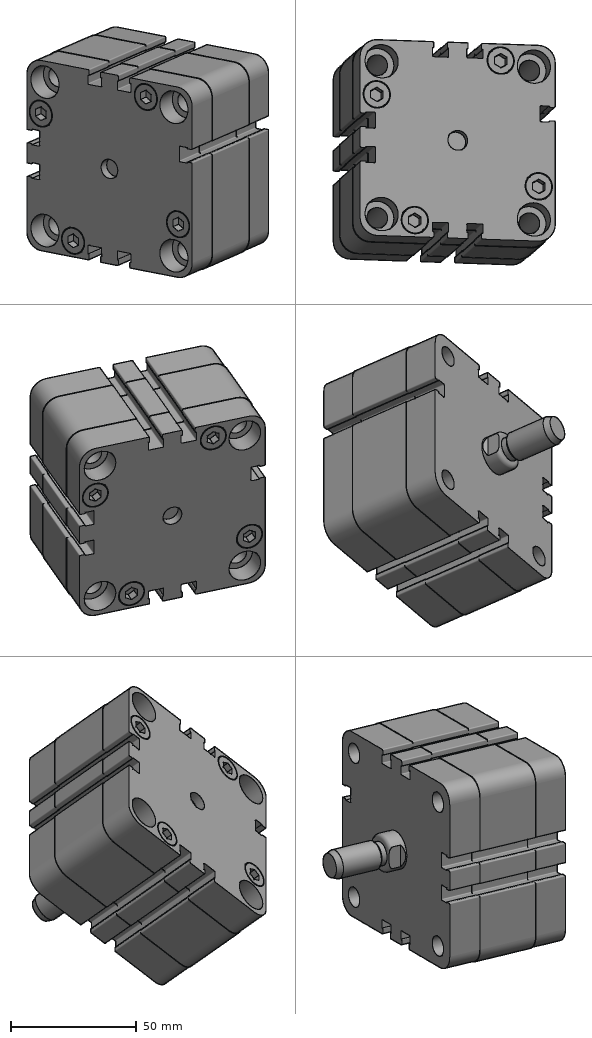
import cadquery as cq


BODY_LENGTH = 55.0
CAP_LENGTH = 14.25
BARREL_LENGTH = BODY_LENGTH - 2 * CAP_LENGTH
BARREL_SIDE = 80.0
CAP_INSET = 0.25
CORNER_CENTRE = 32.75

SLOT_OPENING = 5.5
SLOT_INNER_WIDTH = 6.5
SLOT_LIP = 2.5
SLOT_DEPTH = 6.15
SLOT_EDGE_RADIUS = 0.5
SLOT_INNER_RADIUS = 0.4
SLOT_OFFSET = 7.0
SINGLE_SLOT_OFFSET = 12.0

MOUNT_PITCH = 62.0
MOUNT_HOLE_DIA = 8.38
MOUNT_BORE_DIA = 13.5
MOUNT_BORE_DEPTH = 9.0

SCREW_NEAR = 17.5
SCREW_FAR = 33.0
SCREW_HEAD_DIA = 10.5
SCREW_BORE_DIA = 11.1
SCREW_GAP_DEPTH = 6.0
HEX_ACROSS_FLATS = 5.0
HEX_DEPTH = 4.0

CENTRE_HOLE_DIA = 8.0
CENTRE_HOLE_DEPTH = 4.0

ROD_DIA = 16.0
ROD_LENGTH = 7.5
ROD_END_RADIUS = 1.75
FLAT_WIDTH = 13.0
FLAT_LENGTH = 5.5
NECK_DIA = 10.0
NECK_LENGTH = 2.4
THREAD_DIA = 12.0
THREAD_LENGTH = 21.6
THREAD_START_CHAMFER = 0.9
TIP_DIA = 10.0
TIP_LENGTH = 2.7


def along_y(y):
    """Plane at Y = y with local axes along +X and +Z; negative extrusions run towards +Y."""
    return cq.Workplane("XZ", origin=(0, y, 0))


def cylinder(diameter, start, length, points):
    """Cylinders along +Y from the plane Y = start."""
    return along_y(start).pushPoints(points).circle(diameter / 2).extrude(-length)


def turned(points):
    """Four positions from each point by quarter turns about the cylinder axis."""
    return [p for x, z in points for p in ((x, z), (-z, x), (-x, -z), (z, -x))]


def slot_cutter(side, start, length, offset, turn):
    """T-slot with rounded lips and floor corners, opening on the top face and turned about the Y axis."""
    top = side / 2
    lip = top - SLOT_LIP
    floor = top - SLOT_DEPTH
    edge = SLOT_EDGE_RADIUS
    inner = SLOT_INNER_RADIUS
    left_mouth = offset - SLOT_OPENING / 2
    right_mouth = offset + SLOT_OPENING / 2
    left_wall = offset - SLOT_INNER_WIDTH / 2
    right_wall = offset + SLOT_INNER_WIDTH / 2
    outline = (
        along_y(start)
        .moveTo(left_mouth - edge, top)
        .radiusArc((left_mouth, top - edge), edge)
        .lineTo(left_mouth, lip + inner)
        .radiusArc((left_mouth - inner, lip), inner)
        .lineTo(left_wall, lip)
        .lineTo(left_wall, floor + inner)
        .radiusArc((left_wall + inner, floor), -inner)
        .lineTo(right_wall - inner, floor)
        .radiusArc((right_wall, floor + inner), -inner)
        .lineTo(right_wall, lip)
        .lineTo(right_mouth + inner, lip)
        .radiusArc((right_mouth, lip + inner), inner)
        .lineTo(right_mouth, top - edge)
        .radiusArc((right_mouth + edge, top), edge)
        .close()
    )
    return outline.extrude(-length).rotate((0, 0, 0), (0, 1, 0), turn)


def body_section(side, start, length):
    """Rounded square block with two slots on the top, bottom and -X faces and one on the +X face."""
    section = along_y(start).rect(side, side).extrude(-length)
    section = section.edges("|Y").fillet(side / 2 - CORNER_CENTRE)
    for turn in (0, 180, -90):
        for offset in (-SLOT_OFFSET, SLOT_OFFSET):
            section = section.cut(slot_cutter(side, start, length, offset, turn))
    return section.cut(slot_cutter(side, start, length, -SINGLE_SLOT_OFFSET, 90))


def body():
    cap_side = BARREL_SIDE - 2 * CAP_INSET
    rear_cap = body_section(cap_side, 0, CAP_LENGTH)
    barrel = body_section(BARREL_SIDE, CAP_LENGTH, BARREL_LENGTH)
    front_cap = body_section(cap_side, CAP_LENGTH + BARREL_LENGTH, CAP_LENGTH)
    return rear_cap.union(barrel).union(front_cap)


def mounting_holes():
    centres = turned([(MOUNT_PITCH / 2, MOUNT_PITCH / 2)])
    holes = cylinder(MOUNT_HOLE_DIA, 0, BODY_LENGTH, centres)
    return holes.union(cylinder(MOUNT_BORE_DIA, 0, MOUNT_BORE_DEPTH, centres))


def screw_recesses():
    """Ring gap around each screw head and its hexagon socket."""
    centres = turned([(SCREW_NEAR, SCREW_FAR)])
    gaps = cylinder(SCREW_BORE_DIA, 0, SCREW_GAP_DEPTH, centres)
    gaps = gaps.cut(cylinder(SCREW_HEAD_DIA, 0, SCREW_GAP_DEPTH, centres))
    hexagons = along_y(0).pushPoints(centres).polygon(6, HEX_ACROSS_FLATS, circumscribed=True)
    return gaps.union(hexagons.extrude(-HEX_DEPTH))


def piston_rod():
    """Turned rod with a threaded end and two wrench flats facing -X and +X."""
    rod_end = BODY_LENGTH + ROD_LENGTH
    thread_start = rod_end + NECK_LENGTH
    thread_end = thread_start + THREAD_LENGTH
    rod = (
        cq.Workplane("XY")
        .moveTo(0, BODY_LENGTH)
        .lineTo(ROD_DIA / 2, BODY_LENGTH)
        .lineTo(ROD_DIA / 2, rod_end - ROD_END_RADIUS)
        .radiusArc((ROD_DIA / 2 - ROD_END_RADIUS, rod_end), -ROD_END_RADIUS)
        .lineTo(NECK_DIA / 2, rod_end)
        .lineTo(NECK_DIA / 2, thread_start)
        .lineTo(THREAD_DIA / 2, thread_start + THREAD_START_CHAMFER)
        .lineTo(THREAD_DIA / 2, thread_end - TIP_LENGTH)
        .lineTo(TIP_DIA / 2, thread_end)
        .lineTo(0, thread_end)
        .close()
        .revolve(360, (0, 0, 0), (0, 1, 0))
    )
    flat_x = FLAT_WIDTH / 2
    runout = ROD_DIA / 2 - flat_x
    flat_start = rod_end - FLAT_LENGTH
    flat = (
        cq.Workplane("XY")
        .moveTo(flat_x, rod_end)
        .lineTo(flat_x, flat_start)
        .lineTo(flat_x + runout, flat_start - runout)
        .lineTo(flat_x + runout, rod_end)
        .close()
        .extrude(ROD_DIA / 2, both=True)
    )
    return rod.cut(flat).cut(flat.mirror("YZ"))


centre_hole = cylinder(CENTRE_HOLE_DIA, 0, CENTRE_HOLE_DEPTH, [(0, 0)])

result = body().cut(mounting_holes()).cut(screw_recesses()).cut(centre_hole).union(piston_rod())